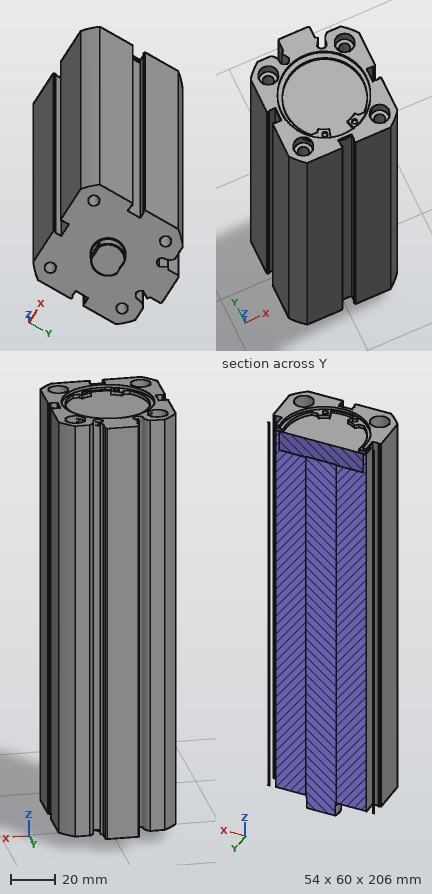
import cadquery as cq
import math

TOTAL_LENGTH = 206.0
ROD_STICK_OUT = 7.0
LENGTH = TOTAL_LENGTH - ROD_STICK_OUT
WIDTH = 54.0
DEPTH = 60.0
HALF = WIDTH / 2
CORNER_RADIUS = 34.0

RAIL_TOP = DEPTH - HALF
RAIL_HALF_WIDTH = 7.8
RAIL_CHAMFER = 0.6
GROOVE_X = 9.3
GROOVE_Y = 22.9
GROOVE_RADIUS = 2.3
GROOVE_LIP_RADIUS = 4.7
BARB_X = 9.0
BARB_Y = 26.2

SLOT_DEPTH = 4.3
SLOT_HALF_WIDTH = 3.3
MOUTH_HALF_WIDTH = 2.9
FLARE_DEPTH = 0.6
LIP_THICKNESS = 1.2

HOLE_OFFSET = 19.0
HOLE_DIAMETER = 5.2
COUNTERBORE_DIAMETER = 9.0
COUNTERBORE_DEPTH = 7.0

BORE_RADIUS = 21.0
CAP_THICKNESS = 10.3
RING_DEPTH = 1.5
RING_THICKNESS = 1.6
RING_WALL = 0.2
RING_RADIUS = HALF - SLOT_DEPTH - RING_WALL
RING_INNER_RADIUS = 19.2
RING_INNER_SHIFT = 0.8
RING_BOTTOM = LENGTH - RING_DEPTH - RING_THICKNESS
CAP_BOTTOM = RING_BOTTOM - CAP_THICKNESS

LUG_INNER_RADIUS = 16.3
LUG_START_ANGLE = 16.0
LUG_END_ANGLE = 34.0
LUG_ROOT = (10.3, -14.8)
LUG_BLEND = (13.5, -14.8)
LUG_HOLE = (7.5, -17.0)
LUG_HOLE_DIAMETER = 2.5

ROD_DIAMETER = 16.0
ROD_TIP_DIAMETER = 15.7
ROD_TIP_LENGTH = 6.0
FLATS_WIDTH = 13.4
ROD_CHAMFER = 0.5


def polar(radius, angle):
    """Point at a radius and an angle in degrees from -Y towards +X."""
    turn = math.radians(angle)
    return (radius * math.sin(turn), -radius * math.cos(turn))


def disc(radius, bottom, height):
    """Solid cylinder about the bore axis."""
    return cq.Workplane("XY").workplane(offset=bottom).circle(radius).extrude(height)


def rail():
    return (
        cq.Workplane("XY")
        .center(0, RAIL_TOP / 2)
        .rect(2 * RAIL_HALF_WIDTH, RAIL_TOP)
        .extrude(LENGTH)
        .edges("|Z and >Y")
        .chamfer(RAIL_CHAMFER)
    )


def rail_groove():
    """Cutter for the round-bottomed groove beside the +X flank of the rail."""
    outer = GROOVE_X + GROOVE_RADIUS
    lip_angle = math.asin((HALF - GROOVE_Y) / GROOVE_LIP_RADIUS)

    def lip_point(angle):
        return (
            outer + GROOVE_LIP_RADIUS * (1 - math.cos(angle)),
            GROOVE_Y + GROOVE_LIP_RADIUS * math.sin(angle),
        )

    return (
        cq.Workplane("XY")
        .moveTo(RAIL_HALF_WIDTH, HALF)
        .lineTo(BARB_X, BARB_Y)
        .lineTo(GROOVE_X - GROOVE_RADIUS, GROOVE_Y)
        .threePointArc((GROOVE_X, GROOVE_Y - GROOVE_RADIUS), (outer, GROOVE_Y))
        .threePointArc(lip_point(lip_angle / 2), lip_point(lip_angle))
        .close()
        .extrude(LENGTH)
    )


def sensor_slot():
    """Cutter for the slot in the -Y side; the lips at its mouth flare outwards."""
    half_outline = [
        (SLOT_HALF_WIDTH, -HALF),
        (MOUTH_HALF_WIDTH, FLARE_DEPTH - HALF),
        (MOUTH_HALF_WIDTH, LIP_THICKNESS - HALF),
        (SLOT_HALF_WIDTH, LIP_THICKNESS - HALF),
        (SLOT_HALF_WIDTH, SLOT_DEPTH - HALF),
    ]
    mirrored = [(-x, y) for x, y in reversed(half_outline)]
    return cq.Workplane("XY").polyline(half_outline + mirrored).close().extrude(LENGTH)


def make_housing():
    body = cq.Workplane("XY").rect(WIDTH, WIDTH).extrude(LENGTH)
    body = body.intersect(disc(CORNER_RADIUS, 0, LENGTH)).union(rail())
    groove = rail_groove()
    body = body.cut(groove).cut(groove.mirror("YZ"))
    for angle in (-90, 0, 90):
        body = body.cut(sensor_slot().rotate((0, 0, 0), (0, 0, 1), angle))
    body = (
        body.faces(">Z")
        .workplane(origin=(0, 0, LENGTH))
        .rect(2 * HOLE_OFFSET, 2 * HOLE_OFFSET, forConstruction=True)
        .vertices()
        .cboreHole(HOLE_DIAMETER, COUNTERBORE_DIAMETER, COUNTERBORE_DEPTH)
    )
    body = body.cut(disc(BORE_RADIUS, CAP_BOTTOM, LENGTH - CAP_BOTTOM))
    body = body.cut(disc(RING_RADIUS, RING_BOTTOM, RING_THICKNESS))
    return body.cut(disc(ROD_DIAMETER / 2, 0, LENGTH))


def make_cap():
    return disc(BORE_RADIUS, CAP_BOTTOM, CAP_THICKNESS)


def ring_lug():
    """Lug at the +X end of the retaining ring."""
    middle_angle = (LUG_START_ANGLE + LUG_END_ANGLE) / 2
    return (
        cq.Workplane("XY")
        .workplane(offset=RING_BOTTOM)
        .moveTo(*polar(BORE_RADIUS, LUG_START_ANGLE))
        .lineTo(*polar(LUG_INNER_RADIUS, LUG_START_ANGLE))
        .threePointArc(polar(LUG_INNER_RADIUS, middle_angle), polar(LUG_INNER_RADIUS, LUG_END_ANGLE))
        .lineTo(*LUG_ROOT)
        .lineTo(*LUG_BLEND)
        .lineTo(*polar(BORE_RADIUS, LUG_END_ANGLE))
        .close()
        .extrude(RING_THICKNESS)
        .cut(disc(LUG_HOLE_DIAMETER / 2, RING_BOTTOM, RING_THICKNESS).translate((*LUG_HOLE, 0)))
    )


def make_retaining_ring():
    ring = disc(RING_RADIUS, RING_BOTTOM, RING_THICKNESS)
    opening = disc(RING_INNER_RADIUS, RING_BOTTOM, RING_THICKNESS).translate((0, -RING_INNER_SHIFT, 0))
    reach = 2 * RING_RADIUS
    gap = (
        cq.Workplane("XY")
        .workplane(offset=RING_BOTTOM)
        .polyline([(0, 0), polar(reach, -LUG_START_ANGLE), polar(reach, LUG_START_ANGLE)])
        .close()
        .extrude(RING_THICKNESS)
    )
    lug = ring_lug()
    return ring.cut(opening).cut(gap).union(lug).union(lug.mirror("YZ"))


def make_rod():
    """Rod with a slightly thinner tip; two wrench flats run out at 45 degrees at the tip's top."""
    radius = ROD_TIP_DIAMETER / 2
    tip_top = ROD_TIP_LENGTH - ROD_STICK_OUT
    tip = disc(radius, -ROD_STICK_OUT, ROD_TIP_LENGTH).faces("<Z").chamfer(ROD_CHAMFER)
    flat_depth = radius - FLATS_WIDTH / 2
    flat = (
        cq.Workplane("YZ")
        .polyline(
            [
                (-radius, -ROD_STICK_OUT),
                (-FLATS_WIDTH / 2, -ROD_STICK_OUT),
                (-FLATS_WIDTH / 2, tip_top - flat_depth),
                (-radius, tip_top),
            ]
        )
        .close()
        .extrude(radius, both=True)
    )
    tip = tip.cut(flat).cut(flat.mirror("XZ"))
    return disc(ROD_DIAMETER / 2, tip_top, CAP_BOTTOM - tip_top).union(tip)


housing = make_housing()
cap = make_cap()
retaining_ring = make_retaining_ring()
rod = make_rod()

result = cq.Compound.makeCompound([housing.val(), cap.val(), retaining_ring.val(), rod.val()])